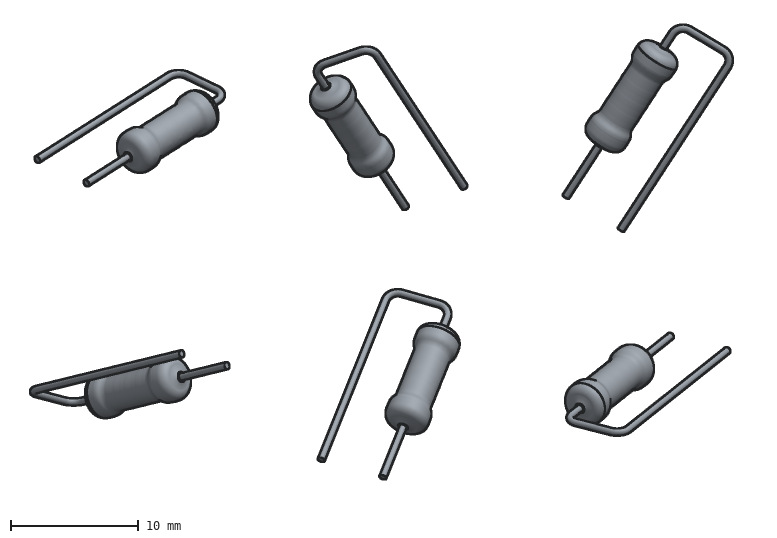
import cadquery as cq
import math

total_length = 17.0
lead_pitch = 5.08
wire_radius = 0.298
bend_radius = 1.0

body_centre = 9.69
cap_end = 4.5
cap_radius = 1.77
cap_corner_radius = 0.75
waist_radius = 1.47
shoulder_start = 2.21
shoulder_length = 0.92
collar_length = 0.22
collar_base_radius = cap_radius - cap_corner_radius
collar_tip_radius = 0.4
collar_sag = 0.03

band_crown = 0.02
waist_band_width = 0.68
waist_band_pitch = 1.2
waist_band_centre = 9.49
cap_straight_end = cap_end - cap_corner_radius
upper_cap_band = (12.85, 13.53)
lower_cap_band = (body_centre - cap_straight_end, 6.46)


def make_wire():
    """Round wire bent into a U with unequal legs ending level at Y = 0."""
    top = total_length - wire_radius
    diagonal = bend_radius * (1 - math.cos(math.radians(45)))
    path = (
        cq.Workplane("XY")
        .lineTo(0, top - bend_radius)
        .threePointArc((-diagonal, top - diagonal), (-bend_radius, top))
        .lineTo(-lead_pitch + bend_radius, top)
        .threePointArc((-lead_pitch + diagonal, top - diagonal), (-lead_pitch, top - bend_radius))
        .lineTo(-lead_pitch, 0)
    )
    return cq.Workplane("XZ").circle(wire_radius).sweep(path)


def make_half_body():
    """Upper half of the body: waist, S-shaped shoulder, rounded cap and collar."""
    shoulder_mid = shoulder_start + shoulder_length / 2
    shoulder_end = shoulder_start + shoulder_length
    mid_radius = (waist_radius + cap_radius) / 2
    collar_mid = ((collar_base_radius + collar_tip_radius) / 2 - collar_sag,
                  cap_end + collar_length / 2 - collar_sag)
    corner_inset = cap_corner_radius * (1 - math.cos(math.radians(45)))
    profile = (
        cq.Workplane("XY")
        .lineTo(waist_radius, 0)
        .lineTo(waist_radius, shoulder_start)
        .tangentArcPoint((mid_radius, shoulder_mid), relative=False)
        .tangentArcPoint((cap_radius, shoulder_end), relative=False)
        .lineTo(cap_radius, cap_straight_end)
        .threePointArc((cap_radius - corner_inset, cap_end - corner_inset),
                       (collar_base_radius, cap_end))
        .threePointArc(collar_mid, (collar_tip_radius, cap_end + collar_length))
        .lineTo(0, cap_end + collar_length)
        .close()
    )
    return profile.revolve(360, (0, 0, 0), (0, 1, 0))


def make_band(radius, start, end):
    """Solid disc with a crowned rim on the body axis between two Y positions."""
    profile = (
        cq.Workplane("XY")
        .moveTo(0, start)
        .lineTo(radius, start)
        .threePointArc((radius + band_crown, (start + end) / 2), (radius, end))
        .lineTo(0, end)
        .close()
    )
    return profile.revolve(360, (0, 0, 0), (0, 1, 0))


half_body = make_half_body()
body = half_body.union(half_body.mirror("XZ")).translate((0, body_centre, 0))

for step in (-1, 0, 1):
    centre = waist_band_centre + step * waist_band_pitch
    band_start = centre - waist_band_width / 2
    body = body.union(make_band(waist_radius, band_start, band_start + waist_band_width))

for start, end in (lower_cap_band, upper_cap_band):
    body = body.union(make_band(cap_radius, start, end))

result = body.union(make_wire())